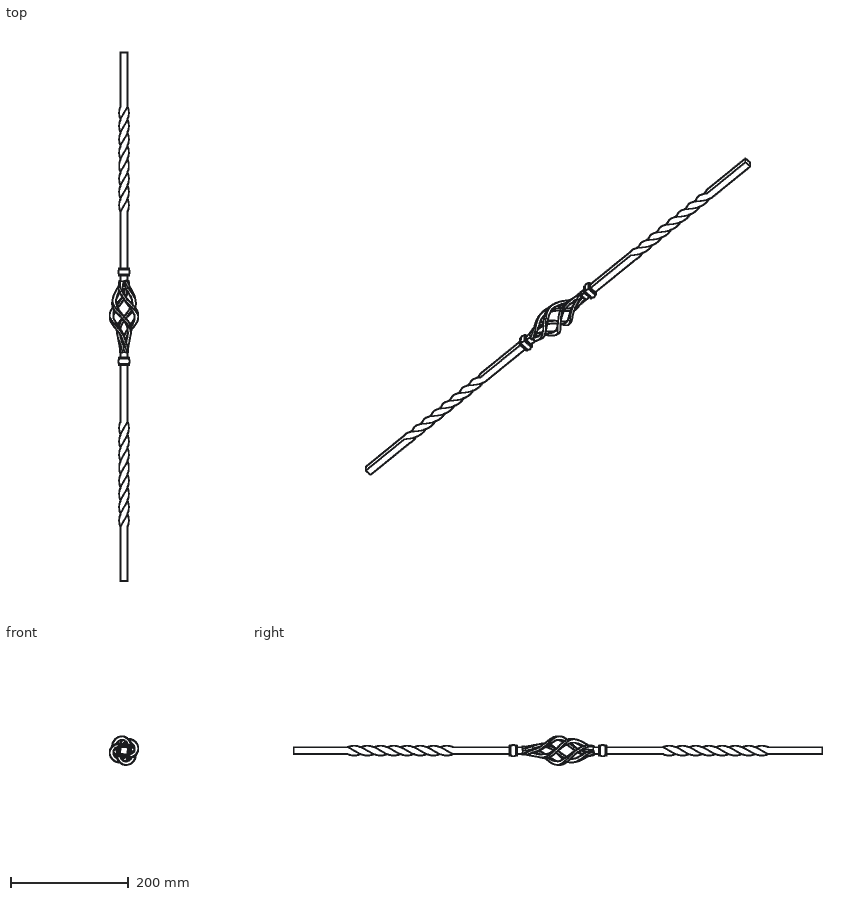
import cadquery as cq
import math

length = 900.0
bar_diagonal = 17.0
bar = bar_diagonal / math.sqrt(2)

twist_start = 178.0
twist_length = 180.0
twist_turns = 2

collar_start = 69.0
thin_bead = 3.0
wide_bead = 8.0
collar_groove = 8.0
thin_crest = 9.0
wide_crest = 10.0

rod_count = 4
rod_depth = 6.0
rod_width = 4.5
basket_half = 61.0
rod_overlap = 1.0
rod_spiral_rate = 2.444
rod_middle_angle = 8.0
rod_radii = [4.5, 5.0, 10.0, 16.0, 22.0, 21.0, 16.0, 10.0, 4.5]


def square_bar(y_low, y_high):
    """Straight square bar between two places along Y."""
    return cq.Workplane().box(bar, y_high - y_low, bar).translate((0, (y_low + y_high) / 2, 0))


def twisted_bar(y_low):
    """Square bar twisted right-handed by whole turns, starting at y_low."""
    return (
        cq.Workplane("XZ", origin=(0, y_low + twist_length, 0))
        .rect(bar, bar)
        .twistExtrude(twist_length, 360 * twist_turns)
    )


def half_bar():
    """The bar on the +Y side of the basket, from basket to end."""
    twist_end = twist_start + twist_length
    return [
        square_bar(basket_half - rod_overlap, twist_start),
        twisted_bar(twist_start),
        square_bar(twist_end, length / 2),
    ]


def collar_profile(plane):
    """Three beads in side outline, extruded across the full width of the collar."""
    beads = [(thin_bead, thin_crest), (wide_bead, wide_crest), (thin_bead, thin_crest)]
    outline = cq.Workplane(plane).moveTo(-collar_groove, collar_start).lineTo(collar_groove, collar_start)
    y = collar_start
    for bead, crest in beads:
        outline = outline.threePointArc((crest, y + bead / 2), (collar_groove, y + bead))
        y += bead
    outline = outline.lineTo(-collar_groove, y)
    for bead, crest in reversed(beads):
        outline = outline.threePointArc((-crest, y - bead / 2), (-collar_groove, y - bead))
        y -= bead
    return outline.close().extrude(wide_crest, both=True)


def collar():
    """Square beaded collar with mitred corners, on the +Y side."""
    across_x = collar_profile("XY")
    return across_x.intersect(across_x.rotate((0, 0, 0), (0, 1, 0), 90))


def basket_rod():
    """One rectangular rod spiralling about Y while swelling out and back in."""
    step = 2 * basket_half / (len(rod_radii) - 1)
    points = []
    for i, radius in enumerate(rod_radii):
        y = -basket_half + i * step
        angle = math.radians(rod_middle_angle + rod_spiral_rate * y)
        points.append(cq.Vector(radius * math.cos(angle), y, radius * math.sin(angle)))
    path = cq.Edge.makeSpline(points)
    axis = cq.Workplane("XY").moveTo(0, -basket_half).lineTo(0, basket_half)
    outward = cq.Vector(points[0].x, 0, points[0].z)
    section = cq.Workplane(cq.Plane(origin=points[0], xDir=outward, normal=path.tangentAt(0)))
    spine = cq.Workplane(cq.Wire.assembleEdges([path]))
    return section.rect(rod_depth, rod_width).sweep(spine, auxSpine=axis)


half_turn = ((0, 0, 0), (0, 0, 1), 180)
pieces = []
for piece in half_bar() + [collar()]:
    pieces += [piece.val(), piece.rotate(*half_turn).val()]

rod = basket_rod()
for i in range(rod_count):
    pieces.append(rod.rotate((0, 0, 0), (0, 1, 0), i * 360 / rod_count).val())

result = cq.Workplane(pieces[0].fuse(*pieces[1:]))